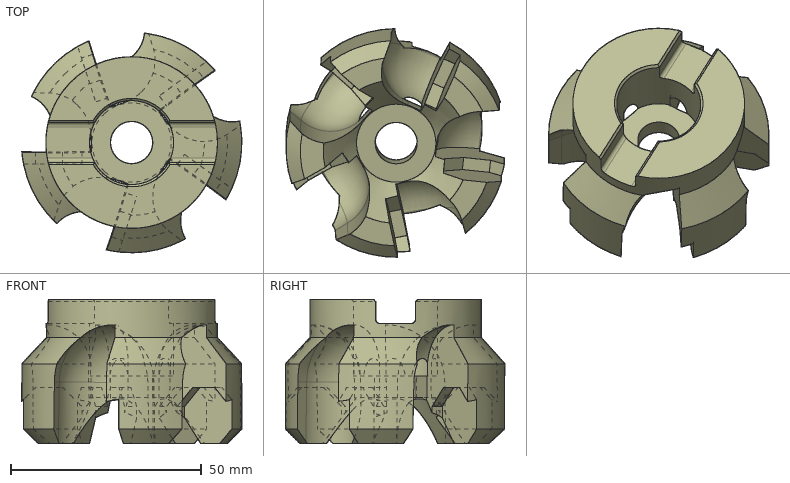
import cadquery as cq
import math


height = 37.78
hub_radius = 22.5
body_radius = 28.9
bottom_chamfer = 3.78
shoulder_bottom_z = 20.9
shoulder_top_z = 27.75

bore_radius = 11.0
bore_floor_z = 17.7
bore_chamfer = 0.6
screw_hole_radius = 5.5
recess_mouth_radius = 19.1
recess_top_radius = 10.4
recess_depth = 12.0

slot_width = 10.4
slot_depth = 6.3
slot_chamfer = 0.6
slot_fillet = 1.1

tooth_count = 5
tooth_face_y = -2.45
flute_inner_radius = 10.6
flute_flat = 3.7
flute_corner_radius = 11.5
flute_flank_angle = 2.0
flute_axis_z = 15.9
flute_tilt = 1.0
clearance = 5.0

seat_sides = 8
seat_face_y = -5.65
seat_width = 17.1
seat_radial_centre = 21.6
seat_top_z = 14.7
seat_overrun = 1.0


def make_blank():
    outline = [
        (0, 0),
        (body_radius - bottom_chamfer, 0),
        (body_radius, bottom_chamfer),
        (body_radius, shoulder_bottom_z),
        (hub_radius, shoulder_top_z),
        (hub_radius, height),
        (0, height),
    ]
    return cq.Workplane("XZ").polyline(outline).close().revolve(360, (0, 0), (0, 1))


def make_bore():
    outline = [
        (0, 0),
        (recess_mouth_radius, 0),
        (recess_top_radius, recess_depth),
        (screw_hole_radius, recess_depth),
        (screw_hole_radius, bore_floor_z),
        (bore_radius, bore_floor_z),
        (bore_radius, height - bore_chamfer),
        (bore_radius + bore_chamfer, height),
        (0, height),
    ]
    return cq.Workplane("XZ").polyline(outline).close().revolve(360, (0, 0), (0, 1))


def make_drive_slot():
    half_width = slot_width / 2
    floor_z = height - slot_depth
    half_floor = half_width - slot_fillet
    mouth = half_width + slot_chamfer
    return (
        cq.Workplane("YZ")
        .moveTo(-mouth, height)
        .lineTo(-half_width, height - slot_chamfer)
        .lineTo(-half_width, floor_z + slot_fillet)
        .radiusArc((-half_floor, floor_z), -slot_fillet)
        .lineTo(half_floor, floor_z)
        .radiusArc((half_width, floor_z + slot_fillet), -slot_fillet)
        .lineTo(half_width, height - slot_chamfer)
        .lineTo(mouth, height)
        .close()
        .extrude(hub_radius + clearance, both=True)
    )


def flute_section():
    """Half section of the flute, measured from the tooth face along +Y."""
    outer_radius = body_radius + clearance
    flute_width = flute_flat + flute_corner_radius
    corner_end = flute_inner_radius + flute_corner_radius
    flank_flare = (outer_radius - corner_end) * math.tan(math.radians(flute_flank_angle))
    return (
        cq.Workplane("XY")
        .moveTo(-outer_radius, 0)
        .lineTo(-flute_inner_radius, 0)
        .lineTo(-flute_inner_radius, flute_flat)
        .radiusArc((-corner_end, flute_width), -flute_corner_radius)
        .lineTo(-outer_radius, flute_width + flank_flare)
        .close()
    )


def make_flute():
    """Straight lower run with a quarter-turn end, leaning slightly about the radial axis."""
    lower_run = flute_section().extrude(-(flute_axis_z + clearance))
    rounded_end = flute_section().revolve(90, (0, 0), (1, 0))
    return (
        lower_run.union(rounded_end)
        .rotate((0, 0, 0), (1, 0, 0), flute_tilt)
        .translate((0, tooth_face_y, flute_axis_z))
    )


def make_insert_seat():
    """Octagonal prism sunk behind the tooth face, with one flat side on top."""
    corner_diameter = seat_width / math.cos(math.pi / seat_sides)
    seat_depth = tooth_face_y - seat_face_y
    centre = (-seat_radial_centre, seat_face_y, seat_top_z - seat_width / 2)
    return (
        cq.Workplane("XZ", origin=centre)
        .transformed(rotate=(0, 0, 180 / seat_sides))
        .polygon(seat_sides, corner_diameter)
        .extrude(-(seat_depth + seat_overrun))
    )


result = make_blank().cut(make_bore()).cut(make_drive_slot())
tooth_gap = make_flute().union(make_insert_seat())
for tooth in range(tooth_count):
    result = result.cut(tooth_gap.rotate((0, 0, 0), (0, 0, 1), tooth * 360 / tooth_count))